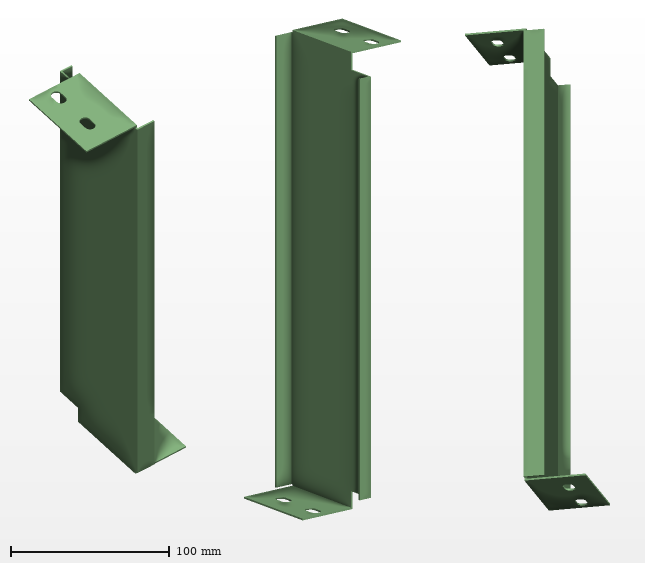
import cadquery as cq

width = 81.0
height = 302.0
sheet = 1.16

flange_depth = 40.0
flange_length = 60.0
flange_x = 19.0

left_notch_height = 12.0
right_notch_height = 2.0

left_lip_depth = 9.0
right_lip_depth = 13.5

slot_length = 12.0
slot_width = 7.0
slot_pitch = 30.0
first_slot_offset = 10.0
slot_edge_distance = 16.0

flange_end_x = flange_x + flange_length
first_slot_x = flange_x + first_slot_offset


def block(x_range, y_range, z_range):
    """Box between two limits along each axis."""
    size = [end - start for start, end in (x_range, y_range, z_range)]
    corner = (x_range[0], y_range[0], z_range[0])
    return cq.Workplane("XY").box(*size, centered=False).translate(corner)


def side_strip(x_range, depth, end_gap):
    """Upright strip of the given depth that stops short of both ends."""
    return block(x_range, (0, depth), (end_gap, height - end_gap))


def mounting_flange(y_range, z_start, slot_y):
    """Horizontal flange with a row of two slots through it."""
    plate = block((flange_x, flange_end_x), y_range, (z_start, z_start + sheet))
    slots = (
        cq.Workplane("XY", origin=(0, 0, z_start))
        .pushPoints([(first_slot_x, slot_y), (first_slot_x + slot_pitch, slot_y)])
        .slot2D(slot_length, slot_width)
        .extrude(sheet)
    )
    return plate.cut(slots)


center_panel = block((flange_x, flange_end_x), (0, sheet), (0, height))
left_panel = side_strip((0, flange_x), sheet, left_notch_height)
right_panel = side_strip((flange_end_x, width), sheet, right_notch_height)

left_lip = side_strip((0, sheet), left_lip_depth, left_notch_height)
right_lip = side_strip((width - sheet, width), right_lip_depth, right_notch_height)

top_flange_tip = sheet - flange_depth
top_flange = mounting_flange(
    (top_flange_tip, sheet), height - sheet, top_flange_tip + slot_edge_distance
)
bottom_flange = mounting_flange((0, flange_depth), 0, flange_depth - slot_edge_distance)

result = (
    center_panel.union(left_panel)
    .union(right_panel)
    .union(left_lip)
    .union(right_lip)
    .union(top_flange)
    .union(bottom_flange)
    .clean()
)